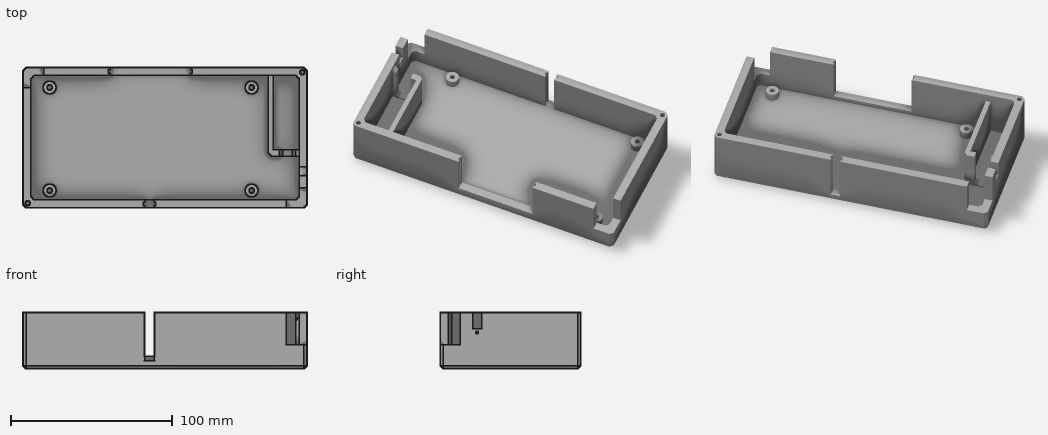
import cadquery as cq

length = 175.98
width = 87.01
height = 35.0
wall = 5.0
floor = 5.0

bevel = 2.0

half_x = length / 2
half_y = width / 2
inner_x = half_x - wall
inner_y = half_y - wall

step_x = 12.9
step_y = 12.5
step_z = 15.0

pin_diameter = 3.0
pin_inset = 3.0
pin_depth = 10.0

standoff_diameter = 8.0
standoff_hole = 3.2
standoff_height = 5.0
standoff_xs = (-71.4, 53.6)
standoff_ys = (-32.7, 31.1)

groove_depth = 1.0
groove_width = 2.2
groove_inset = (wall - groove_width) / 2
front_slot_x = (-12.6, -6.6)
front_slot_z = 5.2
back_opening_x = (-34.0, 16.0)
back_opening_z = 8.0

gap_y = (-23.4, -17.9)
gap_z = 25.0
cable_hole_diameter = 1.5
cable_hole_drop = 2.5

partition_x = 64.0
partition_thickness = 3.0
partition_top = 30.0
return_front_y = -11.5
return_thickness = 4.0
leg_end = partition_x + partition_thickness
return_y = (return_front_y, return_front_y + return_thickness)
cable_opening_x = (70.8, 80.8)
cable_opening_z = 6.0


def box(x_range, y_range, z_range):
    """Axis-aligned box between the given limits."""
    limits = (x_range, y_range, z_range)
    size = [high - low for low, high in limits]
    corner = tuple(low for low, high in limits)
    return cq.Workplane("XY").box(*size, centered=False).translate(corner)


def make_shell():
    """Open box with bevelled upright corners and a bevelled bottom rim."""
    body = box((-half_x, half_x), (-half_y, half_y), (0, height)).edges("|Z or <Z").chamfer(bevel)
    cavity = box((-inner_x, inner_x), (-inner_y, inner_y), (floor, height)).edges("|Z").chamfer(bevel)
    return body.cut(cavity)


def wall_opening(x_range, outer_y, bottom):
    """Cutter for an opening in a long wall at outer_y, with a groove in both side faces."""
    inward = -1 if outer_y > 0 else 1
    groove_start = outer_y + inward * groove_inset
    groove_end = groove_start + inward * groove_width
    opening = box(x_range, sorted((outer_y, outer_y + inward * wall)), (bottom, height))
    groove_x = (x_range[0] - groove_depth, x_range[1] + groove_depth)
    return opening.union(box(groove_x, sorted((groove_start, groove_end)), (bottom, height)))


def cover_steps():
    """Cutters for the two stepped corners, diagonally opposite each other."""
    step = box((half_x - step_x, half_x), (-half_y, step_y - half_y), (step_z, height))
    return step.union(step.rotate((0, 0, 0), (0, 0, 1), 180))


def pin_holes():
    """Blind holes in the tops of the two full-height corners."""
    pin_x = half_x - pin_inset
    pin_y = half_y - pin_inset
    return (
        cq.Workplane("XY").workplane(offset=height - pin_depth)
        .pushPoints([(-pin_x, -pin_y), (pin_x, pin_y)])
        .circle(pin_diameter / 2).extrude(pin_depth)
    )


def standoffs():
    """Four board standoffs, bored down to the floor."""
    centres = [(x, y) for x in standoff_xs for y in standoff_ys]
    return (
        cq.Workplane("XY").workplane(offset=floor).pushPoints(centres)
        .circle(standoff_diameter / 2).circle(standoff_hole / 2).extrude(standoff_height)
    )


def side_wall_cuts():
    """Cutters for the cable gap in the +X wall and the small hole below it."""
    gap = box((inner_x, half_x), gap_y, (gap_z, height))
    hole = (
        cq.Workplane("YZ").workplane(offset=inner_x)
        .center(sum(gap_y) / 2, gap_z - cable_hole_drop)
        .circle(cable_hole_diameter / 2).extrude(wall)
    )
    return gap.union(hole)


def partition():
    """L-shaped wall from the back wall to the +X wall, with a bevelled top where it meets the +X wall."""
    leg = box((partition_x, leg_end), (return_front_y, inner_y), (floor, partition_top))
    cross_wall = box((partition_x, inner_x), return_y, (floor, partition_top))
    ramp = (
        cq.Workplane("XZ", origin=(0, return_front_y, 0))
        .polyline([
            (inner_x - bevel, partition_top), (inner_x, partition_top),
            (inner_x, partition_top + bevel),
        ])
        .close().extrude(-return_thickness)
    )
    corner = leg.union(cross_wall).edges("|Z").edges("<X").edges("<Y").chamfer(bevel)
    return corner.union(ramp)


def cable_opening():
    """Cutter for the cable opening: open at the top, a sill at the bottom, with bevelled lower edges."""
    top = partition_top + bevel
    return box(cable_opening_x, return_y, (cable_opening_z, top)).edges("|Y and <Z").chamfer(bevel)


result = (
    make_shell()
    .cut(wall_opening(front_slot_x, -half_y, front_slot_z))
    .cut(wall_opening(back_opening_x, half_y, back_opening_z))
    .cut(cover_steps())
    .cut(pin_holes())
    .cut(side_wall_cuts())
    .union(standoffs())
    .union(partition())
    .cut(cable_opening())
)